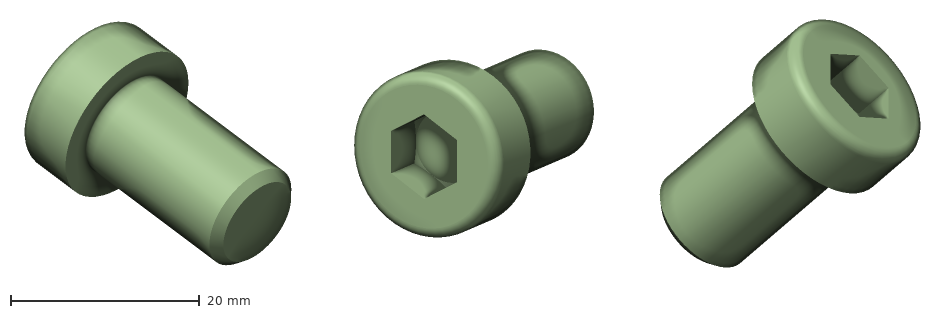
import cadquery as cq
import math

head_diameter = 18.0
head_height = 7.0
head_edge_radius = 1.2

shank_diameter = 12.0
shank_length = 20.0
tip_chamfer = 1.05
neck_fillet_radius = 0.1

socket_across_flats = 8.0
socket_depth = 5.35
socket_corner_slope = 30.0

head_radius = head_diameter / 2
shank_radius = shank_diameter / 2
socket_sides = 6
socket_floor_radius = socket_across_flats / 2
socket_corner_radius = socket_floor_radius / math.cos(math.pi / socket_sides)


def make_head():
    """Cylindrical head with its outer top edge rounded."""
    head = cq.Workplane("YZ").circle(head_radius).extrude(head_height)
    return head.faces("<X").edges().fillet(head_edge_radius)


def make_shank():
    """Plain shank below the head, chamfered at the tip."""
    shank = cq.Workplane("YZ", origin=(head_height, 0, 0)).circle(shank_radius).extrude(shank_length)
    return shank.faces(">X").chamfer(tip_chamfer)


def make_socket():
    """Hexagon with corners on +Z and -Z, a flat round floor and a cone rising into the corners."""
    corners = []
    for index in range(socket_sides):
        angle = math.pi / 2 + 2 * math.pi * index / socket_sides
        corners.append((socket_corner_radius * math.cos(angle), socket_corner_radius * math.sin(angle)))
    prism = cq.Workplane("YZ").polyline(corners).close().extrude(socket_depth)

    cone_height = (head_radius - socket_floor_radius) * math.tan(math.radians(socket_corner_slope))
    envelope_profile = [
        (0, 0),
        (0, head_radius),
        (socket_depth - cone_height, head_radius),
        (socket_depth, socket_floor_radius),
        (socket_depth, 0),
    ]
    envelope = cq.Workplane("XY").polyline(envelope_profile).close().revolve(360, (0, 0, 0), (1, 0, 0))
    return prism.intersect(envelope)


def make_body():
    """Head and shank joined, with a small fillet in the corner under the head."""
    body = make_head().union(make_shank())
    reach = (shank_radius + head_radius) / 2
    box_start = (head_height - neck_fillet_radius, -reach, -reach)
    box_end = (head_height + neck_fillet_radius, reach, reach)
    neck_edge = body.edges(cq.selectors.BoxSelector(box_start, box_end, boundingbox=True))
    return neck_edge.fillet(neck_fillet_radius)


result = make_body().cut(make_socket())